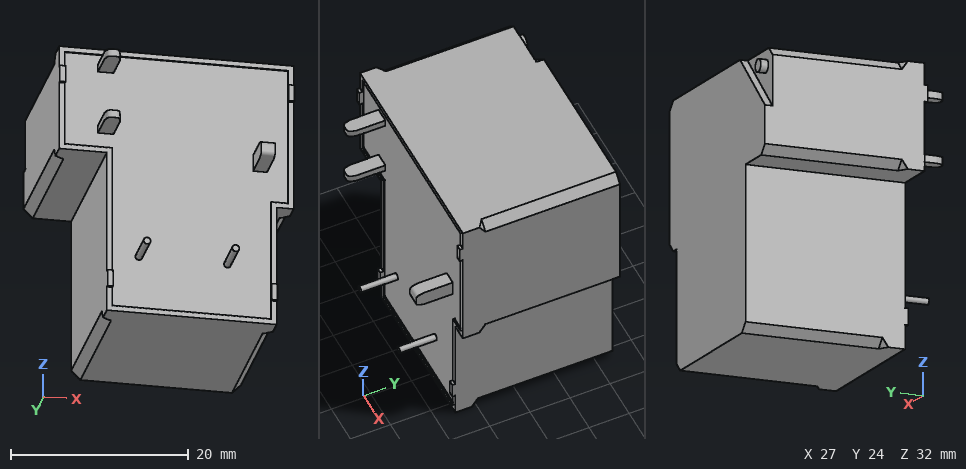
import cadquery as cq
import math

WIDTH = 27.0
HEIGHT = 32.05
OVERALL_DEPTH = 24.0
TERMINAL_REACH = 4.4
HOUSING_DEPTH = OVERALL_DEPTH - TERMINAL_REACH

LOWER_LEFT = 5.48
LOWER_RIGHT = 25.03
LEFT_STEP_Z = 19.42
RIGHT_STEP_Z = 14.42
RIM_WIDTH = 0.65

CHAMFER_LEG = 1.05
CHAMFER_START = 2.82

NOTCH_LEG = 7.05
NOTCH_DEPTH = 0.93
POST_DIAMETER = 1.55
POST_INSET = 1.95

FOOT_HEIGHT = 0.4
FOOT_LENGTH = 1.95
UPPER_FOOT_Z = 28.52
LOWER_FOOT_Z = 3.85

PLATE_RECESS = 0.2
PLATE_THICKNESS = 0.65

TIP_LENGTH = 1.0
TIP_TAPER = 0.25
TIP_RADIUS = 0.5
CONTACT_WIDTH = 1.8
CONTACT_THICKNESS = 0.9
CONTACT_X = 5.4
CONTACT_HEIGHTS = (22.27, 29.8)
COMMON_WIDTH = 1.92
COMMON_THICKNESS = 1.6
COMMON_X = 23.15
COMMON_Z = 19.7

COIL_PIN_DIAMETER = 0.8
COIL_PIN_Z = 7.0
COIL_PIN_POSITIONS = (9.2, 19.4)


def stepped_prism(inset, y_start, y_end):
    """Prism of the stepped outline, moved inwards by inset, from y_start back to y_end."""
    outline = [
        (LOWER_LEFT + inset, inset),
        (LOWER_RIGHT - inset, inset),
        (LOWER_RIGHT - inset, RIGHT_STEP_Z + inset),
        (WIDTH - inset, RIGHT_STEP_Z + inset),
        (WIDTH - inset, HEIGHT - inset),
        (inset, HEIGHT - inset),
        (inset, LEFT_STEP_Z + inset),
        (LOWER_LEFT + inset, LEFT_STEP_Z + inset),
    ]
    plane = cq.Workplane("XZ", origin=(0, y_start, 0))
    return plane.polyline(outline).close().extrude(y_start - y_end)


def chamfer_cutter(x, z, x_side, z_side):
    """Cutter for one outer edge at (x, z); the sides (+1 or -1) point out of the housing."""
    bevel_depth = CHAMFER_LEG / math.sqrt(2)
    plane = cq.Plane(origin=(x, 0, z), xDir=(x_side, 0, z_side), normal=(-z_side, 0, x_side))
    profile = [
        (-bevel_depth, HOUSING_DEPTH),
        (-bevel_depth, CHAMFER_START),
        (0, CHAMFER_START - bevel_depth),
        (0, HOUSING_DEPTH),
    ]
    return cq.Workplane(plane).polyline(profile).close().extrude(CHAMFER_LEG, both=True)


def corner_notch():
    """Triangular notch in the back of the top left corner, less the post left standing in it."""
    back = cq.Workplane("XZ", origin=(0, HOUSING_DEPTH, 0))
    triangle = [(0, HEIGHT), (NOTCH_LEG, HEIGHT), (0, HEIGHT - NOTCH_LEG)]
    notch = back.polyline(triangle).close().extrude(NOTCH_DEPTH)
    post = back.center(POST_INSET, HEIGHT - POST_INSET).circle(POST_DIAMETER / 2).extrude(NOTCH_DEPTH)
    return notch.cut(post)


def foot(outer_x, inward, z):
    """Foot as wide as the rim; inward is +1 or -1 along X."""
    foot_x = outer_x + inward * RIM_WIDTH / 2
    length_y = FOOT_HEIGHT + PLATE_RECESS
    center_y = (PLATE_RECESS - FOOT_HEIGHT) / 2
    return cq.Workplane("XY").box(RIM_WIDTH, length_y, FOOT_LENGTH).translate((foot_x, center_y, z))


def make_housing():
    body = stepped_prism(0, 0, HOUSING_DEPTH)
    body = body.cut(stepped_prism(RIM_WIDTH, 0, PLATE_RECESS + PLATE_THICKNESS))
    outer_edges = [
        (0, HEIGHT, -1, 1),
        (WIDTH, HEIGHT, 1, 1),
        (0, LEFT_STEP_Z, -1, -1),
        (WIDTH, RIGHT_STEP_Z, 1, -1),
        (LOWER_LEFT, 0, -1, -1),
        (LOWER_RIGHT, 0, 1, -1),
    ]
    for edge in outer_edges:
        body = body.cut(chamfer_cutter(*edge))
    body = body.cut(corner_notch())
    feet = [
        (0, 1, UPPER_FOOT_Z),
        (WIDTH, -1, UPPER_FOOT_Z),
        (LOWER_LEFT, 1, LOWER_FOOT_Z),
        (LOWER_RIGHT, -1, LOWER_FOOT_Z),
    ]
    for place in feet:
        body = body.union(foot(*place))
    return body


def make_base_plate():
    return stepped_prism(RIM_WIDTH, PLATE_RECESS, PLATE_RECESS + PLATE_THICKNESS)


def make_blade(width, thickness):
    """Flat terminal standing on the plate face: width along X, thickness along Z."""
    half = width / 2
    tip_half = half - TIP_TAPER
    shoulder_y = TIP_LENGTH - TERMINAL_REACH
    outline = [
        (-half, PLATE_RECESS),
        (-half, shoulder_y),
        (-tip_half, -TERMINAL_REACH),
        (tip_half, -TERMINAL_REACH),
        (half, shoulder_y),
        (half, PLATE_RECESS),
    ]
    blade = cq.Workplane("XY").polyline(outline).close().extrude(thickness / 2, both=True)
    return blade.faces("<Y").edges("|Z").fillet(TIP_RADIUS)


def make_contact_terminal(z):
    return make_blade(CONTACT_WIDTH, CONTACT_THICKNESS).translate((CONTACT_X, 0, z))


def make_common_terminal():
    """Larger blade, turned on edge so that its width runs along Z."""
    blade = make_blade(COMMON_WIDTH, COMMON_THICKNESS)
    return blade.rotate((0, 0, 0), (0, 1, 0), 90).translate((COMMON_X, 0, COMMON_Z))


def make_coil_pin(x):
    plate_face = cq.Workplane("XZ", origin=(x, PLATE_RECESS, COIL_PIN_Z))
    return plate_face.circle(COIL_PIN_DIAMETER / 2).extrude(PLATE_RECESS + TERMINAL_REACH)


housing = make_housing()
base_plate = make_base_plate()
contact_terminals = [make_contact_terminal(z) for z in CONTACT_HEIGHTS]
common_terminal = make_common_terminal()
coil_pins = [make_coil_pin(x) for x in COIL_PIN_POSITIONS]

result = cq.Compound.makeCompound([
    housing.val(),
    base_plate.val(),
    *[terminal.val() for terminal in contact_terminals],
    common_terminal.val(),
    *[pin.val() for pin in coil_pins],
])